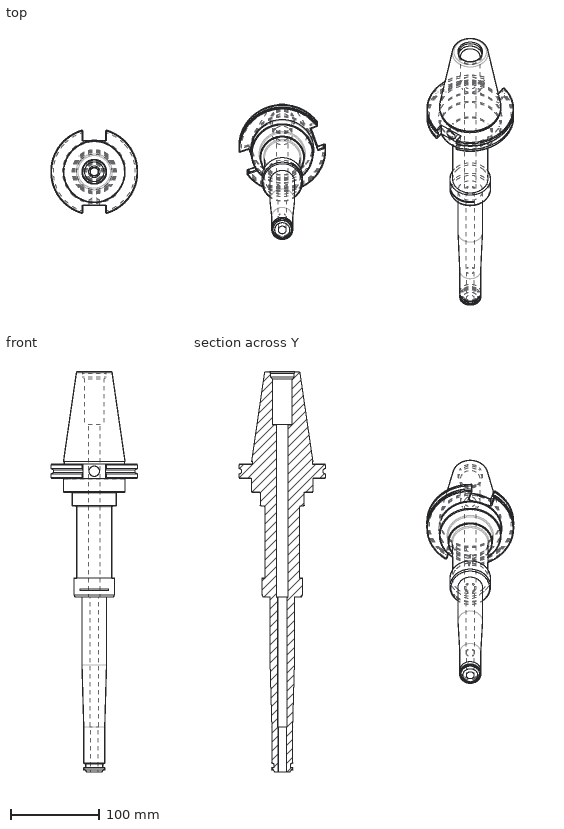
import cadquery as cq
import math

GAUGE_DIA = 69.85
TAPER_LENGTH = 101.6
TAPER_RATIO = 7 / 24
TAPER_END_ROUND = 2.0
RELIEF_DIA = 68.5

FLANGE_DIA = 98.425
FLANGE_TOP_Z = -3.18
FLANGE_BOTTOM_Z = -19.05
FLANGE_CHAMFER = 1.0
GROOVE_CENTRE_Z = -11.13
GROOVE_MOUTH = 6.6
GROOVE_FLOOR_DIA = 92.5
GROOVE_FLANK_ANGLE = 30

SLOT_WIDTH = 25.7
SLOT_EDGE_CHAMFER = 1.1
SLOT_FLOOR_PLUS_Y = 35.3
SLOT_FLOOR_MINUS_Y = 37.85

DIMPLE_DIA = 11.7
DIMPLE_DEPTH = 6.0
DIMPLE_TIP_ANGLE = 118

HUB_DIA = 70.0
HUB_BOTTOM_Z = -35.0
HUB_CHAMFER = 1.0
STEP_DIA = 50.0
STEP_BOTTOM_Z = -50.6
STEP_CHAMFER = 0.9
BODY_DIA = 40.0
COLLAR_DIA = 46.0
COLLAR_TOP_Z = -132.0
COLLAR_BOTTOM_Z = -153.3
COLLAR_CHAMFER_HEIGHT = 2.5
COLLAR_CHAMFER_WIDTH = 1.2
FLANGE_FILLET = 0.8
CORNER_FILLET = 1.2

MARK_GROOVE_Z = -145.2
MARK_GROOVE_WIDTH = 1.5
MARK_GROOVE_DEPTH = 0.2
MARK_GROOVE_ANGLE = 90

SHAFT_DIA = 28.0
CONE_TOP_Z = -230.0
NOSE_DIA = 24.0
CONE_BOTTOM_Z = -300.0
NOSE_BOTTOM_Z = -341.0
NECK_DIA = 19.5
NECK_TOP_Z = -342.0
RIM_TOP_Z = -345.9
RIM_BOTTOM_Z = -348.6
RIM_CHAMFER = 0.5
TIP_Z = -351.1
TIP_TOP_DIA = 21.0
TIP_DIA = 17.0

ENTRY_CHAMFER_DIA = 28.0
ENTRY_CHAMFER_DEPTH = 2.0
ENTRY_BORE_DIA = 26.4
ENTRY_BORE_DEPTH = 6.3
SHANK_BORE_DIA = 21.96
SHANK_BORE_DEPTH = 60.0
BODY_BORE_DIA = 13.0
BODY_BORE_BOTTOM_Z = COLLAR_BOTTOM_Z
NOSE_BORE_DIA = 10.0
NOSE_BORE_BOTTOM_Z = CONE_BOTTOM_Z
COOLANT_BORE_DIA = 9.0


def corner_fillet(radius, z, size):
    """Points of a concave 90 degree fillet between a face at z and a cylinder below it."""
    offset = size * (1 - math.sqrt(0.5))
    start = (radius + size, z)
    middle = (radius + offset, z - offset)
    end = (radius, z - size)
    return start, middle, end


def taper_end_round(end_r):
    """Points of an arc tangent to the top face and to the taper, top face first."""
    slope = math.atan(TAPER_RATIO / 2)
    centre_z = TAPER_LENGTH - TAPER_END_ROUND
    centre_r = end_r + TAPER_END_ROUND * (math.tan(slope) - 1 / math.cos(slope))
    angles = (math.pi / 2, (math.pi / 2 + slope) / 2, slope)
    return [
        (centre_r + TAPER_END_ROUND * math.cos(a), centre_z + TAPER_END_ROUND * math.sin(a))
        for a in angles
    ]


def make_body():
    """Revolve the outer half profile about Z."""
    gauge_r = GAUGE_DIA / 2
    taper_end_r = gauge_r - TAPER_LENGTH * TAPER_RATIO / 2
    end_round = taper_end_round(taper_end_r)
    relief_r = RELIEF_DIA / 2
    flange_r = FLANGE_DIA / 2
    groove_r = GROOVE_FLOOR_DIA / 2
    mouth = GROOVE_MOUTH / 2
    floor = mouth - (flange_r - groove_r) * math.tan(math.radians(GROOVE_FLANK_ANGLE))
    hub_r = HUB_DIA / 2
    step_r = STEP_DIA / 2
    body_r = BODY_DIA / 2
    collar_r = COLLAR_DIA / 2
    shaft_r = SHAFT_DIA / 2
    nose_r = NOSE_DIA / 2
    neck_r = NECK_DIA / 2
    flange_fillet = corner_fillet(hub_r, FLANGE_BOTTOM_Z, FLANGE_FILLET)
    hub_fillet = corner_fillet(step_r, HUB_BOTTOM_Z, CORNER_FILLET)
    step_fillet = corner_fillet(body_r, STEP_BOTTOM_Z, CORNER_FILLET)
    shank_points = [
        (gauge_r, 0),
        (relief_r, 0),
        (relief_r, FLANGE_TOP_Z),
        (flange_r - FLANGE_CHAMFER, FLANGE_TOP_Z),
        (flange_r, FLANGE_TOP_Z - FLANGE_CHAMFER),
        (flange_r, GROOVE_CENTRE_Z + mouth),
        (groove_r, GROOVE_CENTRE_Z + floor),
        (groove_r, GROOVE_CENTRE_Z - floor),
        (flange_r, GROOVE_CENTRE_Z - mouth),
        (flange_r, FLANGE_BOTTOM_Z + FLANGE_CHAMFER),
        (flange_r - FLANGE_CHAMFER, FLANGE_BOTTOM_Z),
        flange_fillet[0],
    ]
    hub_points = [
        (hub_r, HUB_BOTTOM_Z + HUB_CHAMFER),
        (hub_r - HUB_CHAMFER, HUB_BOTTOM_Z),
        hub_fillet[0],
    ]
    step_points = [
        (step_r, STEP_BOTTOM_Z + STEP_CHAMFER),
        (step_r - STEP_CHAMFER, STEP_BOTTOM_Z),
        step_fillet[0],
    ]
    nose_points = [
        (body_r, COLLAR_TOP_Z),
        (collar_r, COLLAR_TOP_Z),
        (collar_r, COLLAR_BOTTOM_Z + COLLAR_CHAMFER_HEIGHT),
        (collar_r - COLLAR_CHAMFER_WIDTH, COLLAR_BOTTOM_Z),
        (shaft_r, COLLAR_BOTTOM_Z),
        (shaft_r, CONE_TOP_Z),
        (nose_r, CONE_BOTTOM_Z),
        (nose_r, NOSE_BOTTOM_Z),
        (neck_r, NECK_TOP_Z),
        (neck_r, RIM_TOP_Z),
        (nose_r - RIM_CHAMFER, RIM_TOP_Z),
        (nose_r, RIM_TOP_Z - RIM_CHAMFER),
        (nose_r, RIM_BOTTOM_Z),
        (TIP_TOP_DIA / 2, RIM_BOTTOM_Z),
        (TIP_DIA / 2, TIP_Z),
        (0, TIP_Z),
    ]
    profile = cq.Workplane("XZ").moveTo(0, TAPER_LENGTH).lineTo(*end_round[0])
    profile = profile.threePointArc(*end_round[1:])
    for point in shank_points:
        profile = profile.lineTo(*point)
    profile = profile.threePointArc(*flange_fillet[1:])
    for point in hub_points:
        profile = profile.lineTo(*point)
    profile = profile.threePointArc(*hub_fillet[1:])
    for point in step_points:
        profile = profile.lineTo(*point)
    profile = profile.threePointArc(*step_fillet[1:])
    for point in nose_points:
        profile = profile.lineTo(*point)
    return profile.close().revolve(360, (0, 0), (0, 1))


def drive_slot(side, floor_y):
    """Slot cutter on the side (+1 or -1) of Y, with chamfers at its mouth."""
    half = SLOT_WIDTH / 2
    wide = half + SLOT_EDGE_CHAMFER
    rim_y = math.sqrt((FLANGE_DIA / 2) ** 2 - wide ** 2)
    outer_y = FLANGE_DIA
    right_half = [
        (half, floor_y),
        (half, rim_y - SLOT_EDGE_CHAMFER),
        (wide, rim_y),
        (wide, outer_y),
    ]
    left_half = [(-x, y) for x, y in reversed(right_half)]
    outline = [(x, side * y) for x, y in right_half + left_half]
    depth = FLANGE_TOP_Z - FLANGE_BOTTOM_Z
    base = cq.Workplane("XY").workplane(offset=FLANGE_BOTTOM_Z)
    cutter = base.polyline(outline).close().extrude(depth)

    upper_z = FLANGE_TOP_Z - SLOT_EDGE_CHAMFER
    lower_z = FLANGE_BOTTOM_Z + SLOT_EDGE_CHAMFER
    right_section = [(wide, FLANGE_BOTTOM_Z), (half, lower_z), (half, upper_z), (wide, FLANGE_TOP_Z)]
    left_section = [(-x, z) for x, z in reversed(right_section)]
    section = cq.Workplane("XZ", origin=(0, side * floor_y, 0)).polyline(right_section + left_section)
    return cutter.union(section.close().extrude(-side * outer_y))


def dimple():
    """Drilled hole with a conical end, entering the -Y slot floor along +Y."""
    radius = DIMPLE_DIA / 2
    tip = radius / math.tan(math.radians(DIMPLE_TIP_ANGLE / 2))
    inner_y = DIMPLE_DEPTH - SLOT_FLOOR_MINUS_Y
    outline = [
        (0, -SLOT_FLOOR_MINUS_Y),
        (radius, -SLOT_FLOOR_MINUS_Y),
        (radius, inner_y),
        (0, inner_y + tip),
    ]
    drill = cq.Workplane("XY").polyline(outline).close().revolve(360, (0, 0), (0, 1))
    return drill.translate((0, 0, GROOVE_CENTRE_Z))


def bores():
    """Stepped bore along the whole axis."""
    entry_r = ENTRY_BORE_DIA / 2
    shank_r = SHANK_BORE_DIA / 2
    body_r = BODY_BORE_DIA / 2
    nose_r = NOSE_BORE_DIA / 2
    coolant_r = COOLANT_BORE_DIA / 2
    entry_bottom_z = TAPER_LENGTH - ENTRY_BORE_DEPTH
    shank_top_z = entry_bottom_z - (entry_r - shank_r)
    shank_bottom_z = TAPER_LENGTH - SHANK_BORE_DEPTH
    points = [
        (0, TAPER_LENGTH),
        (ENTRY_CHAMFER_DIA / 2, TAPER_LENGTH),
        (entry_r, TAPER_LENGTH - ENTRY_CHAMFER_DEPTH),
        (entry_r, entry_bottom_z),
        (shank_r, shank_top_z),
        (shank_r, shank_bottom_z),
        (body_r, shank_bottom_z),
        (body_r, BODY_BORE_BOTTOM_Z),
        (nose_r, BODY_BORE_BOTTOM_Z),
        (nose_r, NOSE_BORE_BOTTOM_Z),
        (coolant_r, NOSE_BORE_BOTTOM_Z),
        (coolant_r, TIP_Z),
        (0, TIP_Z),
    ]
    return cq.Workplane("XZ").polyline(points).close().revolve(360, (0, 0), (0, 1))


def mark_groove():
    """Shallow arc groove centred on the -Y side of the collar."""
    collar_r = COLLAR_DIA / 2
    floor_r = collar_r - MARK_GROOVE_DEPTH
    bottom_z = MARK_GROOVE_Z - MARK_GROOVE_WIDTH / 2
    top_z = bottom_z + MARK_GROOVE_WIDTH
    section = cq.Workplane("XZ").polyline(
        [(floor_r, bottom_z), (collar_r, bottom_z), (collar_r, top_z), (floor_r, top_z)]
    )
    arc = section.close().revolve(MARK_GROOVE_ANGLE, (0, 0), (0, 1))
    start_angle = -90 - MARK_GROOVE_ANGLE / 2
    return arc.rotate((0, 0, 0), (0, 0, 1), start_angle)


result = make_body()
result = result.cut(drive_slot(1, SLOT_FLOOR_PLUS_Y))
result = result.cut(drive_slot(-1, SLOT_FLOOR_MINUS_Y))
result = result.cut(dimple())
result = result.cut(mark_groove())
result = result.cut(bores())